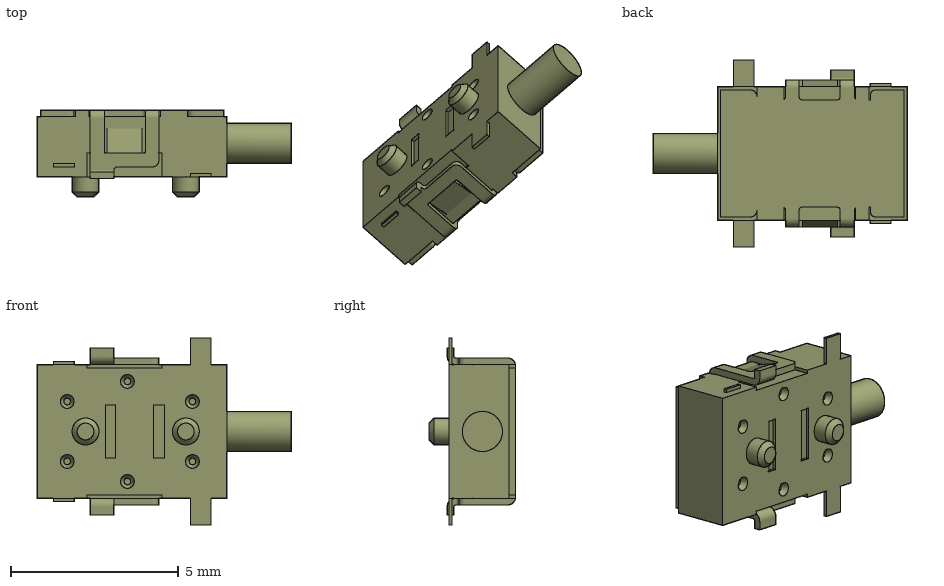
import cadquery as cq
import math


total_length = 7.6
body_length = 5.68
body_depth = 1.8
body_half_height = 2.0

shaft_radius = 0.6
shaft_y = 1.0

pin_radius = 0.4
pin_length = 0.6
pin_chamfer = 0.15
pin_centers_x = (1.445, 4.445)

pit_radius = 0.205
pit_floor_radius = 0.1
pit_depth = 0.2
pit_centers = [(0.9, 0.9), (4.64, 0.9), (2.7, 1.5)]
slot_half_height = 0.79
slot_depth = 0.1
slot_ranges_x = ((2.04, 2.34), (3.48, 3.8))

rib_x = (0.49, 1.11)
rib_y = (0.3, 0.395)
rib_height = 0.1
tab_x = (4.58, 5.205)
tab_thickness = 0.1
tab_span = 5.6
tab_tip_z = tab_span / 2
recess_x = (1.49, 3.74)
recess_y = 0.715
recess_depth = 0.1

sheet = 0.2
clip_sheet = 0.205
plate_x = (0.1, 5.585)
plate_half_height = 1.9
plate_back_y = body_depth + sheet
clip_x = (1.58, 3.64)
window_x = (2.01, 3.24)
window_y = recess_y
window_corner = 0.05
clip_end_y = 0.3
clip_corner = 0.2
clip_outer_z = body_half_height + clip_sheet
clip_bend = 0.25
clip_root_fillet = 0.1

foot_end_x = 2.295
foot_tip_z = 2.5
foot_outer_bend = 0.25
foot_inner_bend = foot_outer_bend - clip_sheet
foot_front_y = -0.05
foot_corner = 0.1

relief_depth = 0.3
relief_floor_z = plate_half_height - relief_depth
relief_x = (1.1, 4.5)
relief_rounds = (0.15, 0.2)
boss_ranges_x = ((1.15, 1.54), (3.69, relief_x[1]))

wedge_x = (2.09, 3.14)
wedge_end_y = 1.445
wedge_rise = 0.2

embed = 0.2


def block(x_range, y_range, z_range):
    """Axis-aligned block between the given limits."""
    sizes = [high - low for low, high in (x_range, y_range, z_range)]
    return cq.Workplane("XY").box(*sizes, centered=False).translate((x_range[0], y_range[0], z_range[0]))


def mirrored(shape):
    """The shape together with its mirror image about the symmetry plane."""
    return shape.union(shape.mirror("XY"))


def arc_middle(center, radius, degrees):
    """Point on a circle, used as the middle of an arc."""
    angle = math.radians(degrees)
    return (center[0] + radius * math.cos(angle), center[1] + radius * math.sin(angle))


def facing_y(y):
    """Workplane at height y whose local axes are X and Z and whose normal is -Y."""
    return cq.Workplane("XZ", origin=(0, y, 0))


def make_housing():
    housing = block((0, body_length), (0, body_depth), (-body_half_height, body_half_height))
    shaft = cq.Workplane("YZ").center(shaft_y, 0).circle(shaft_radius).extrude(total_length)
    housing = housing.union(shaft)
    for x in pin_centers_x:
        pin = facing_y(embed).center(x, 0).circle(pin_radius).extrude(embed + pin_length)
        housing = housing.union(pin.faces("<Y").chamfer(pin_chamfer))
    return housing


def make_pits():
    profile = [(0, 0), (pit_radius, 0), (pit_floor_radius, pit_depth), (0, pit_depth)]
    pit = cq.Workplane("XY").polyline(profile).close().revolve(360, (0, 0, 0), (0, 1, 0))
    pits = cq.Workplane("XY")
    for x, z in pit_centers:
        pits = pits.add(pit.translate((x, 0, z))).add(pit.translate((x, 0, -z)))
    return pits.combine()


def make_slots():
    slots = cq.Workplane("XY")
    for x_range in slot_ranges_x:
        slots = slots.add(block(x_range, (0, slot_depth), (-slot_half_height, slot_half_height)))
    return slots.combine()


def make_wedge():
    """Latch that rises from flush at its far end to full height at the window's end."""
    profile = [
        (window_y, body_half_height - embed),
        (window_y, body_half_height + wedge_rise),
        (wedge_end_y, body_half_height),
        (wedge_end_y, body_half_height - embed),
    ]
    wedge = cq.Workplane("YZ", origin=(wedge_x[0], 0, 0)).polyline(profile).close()
    return wedge.extrude(wedge_x[1] - wedge_x[0])


def make_back_plate():
    """Back plate whose long edges drop to a lower floor across the clip zone, rounded at both ends."""
    z_range = (-plate_half_height, plate_half_height)
    plate = block(plate_x, (body_depth, plate_back_y), z_range)
    left_round, right_round = relief_rounds
    left, right = relief_x
    left_center = (left - left_round, plate_half_height - left_round)
    right_center = (right + right_round, plate_half_height - right_round)
    relief = (
        facing_y(plate_back_y)
        .moveTo(left_center[0], plate_half_height)
        .threePointArc(arc_middle(left_center, left_round, 45), (left, left_center[1]))
        .lineTo(left, relief_floor_z)
        .lineTo(right, relief_floor_z)
        .lineTo(right, right_center[1])
        .threePointArc(arc_middle(right_center, right_round, 135), (right_center[0], plate_half_height))
        .close()
        .extrude(sheet)
    )
    return plate.cut(mirrored(relief))


def make_bosses():
    z_range = (-body_half_height, body_half_height)
    bosses = cq.Workplane("XY")
    for x_range in boss_ranges_x:
        bosses = bosses.add(block(x_range, (body_depth, plate_back_y), z_range))
    return bosses.combine()


def make_clip_sheet():
    """Bent sheet of the clip, full width: root, bend, arm along the side wall, bend and foot."""
    root_center = (plate_back_y - clip_bend, clip_outer_z - clip_bend)
    foot_center_y = foot_front_y + foot_outer_bend
    foot_center = (foot_center_y, body_half_height + foot_outer_bend)
    return (
        cq.Workplane("YZ", origin=(clip_x[0], 0, 0))
        .moveTo(body_depth, relief_floor_z)
        .lineTo(plate_back_y, relief_floor_z)
        .lineTo(plate_back_y, root_center[1])
        .threePointArc(arc_middle(root_center, clip_bend, 45), (root_center[0], clip_outer_z))
        .lineTo(foot_center_y, clip_outer_z)
        .threePointArc(
            arc_middle(foot_center, foot_inner_bend, 225),
            (foot_center_y - foot_inner_bend, foot_center[1]),
        )
        .lineTo(foot_center_y - foot_inner_bend, foot_tip_z)
        .lineTo(foot_front_y, foot_tip_z)
        .lineTo(foot_front_y, foot_center[1])
        .threePointArc(arc_middle(foot_center, foot_outer_bend, 225), (foot_center_y, body_half_height))
        .lineTo(body_depth, body_half_height)
        .close()
        .extrude(clip_x[1] - clip_x[0])
    )


def make_clip_outline():
    """Flat outline of the clip with its foot strip and open window."""
    left, right = clip_x
    step_center = (foot_end_x + foot_corner, clip_end_y - foot_corner)
    corner_center = (right - clip_corner, clip_end_y + clip_corner)
    outline = (
        cq.Workplane("XY")
        .moveTo(left, plate_back_y)
        .lineTo(left, foot_front_y)
        .lineTo(foot_end_x, foot_front_y)
        .lineTo(foot_end_x, step_center[1])
        .threePointArc(arc_middle(step_center, foot_corner, 135), (step_center[0], clip_end_y))
        .lineTo(corner_center[0], clip_end_y)
        .threePointArc(arc_middle(corner_center, clip_corner, 315), (right, corner_center[1]))
        .lineTo(right, plate_back_y)
        .close()
        .extrude(foot_tip_z)
    )
    window = block(window_x, (window_y, plate_back_y), (0, foot_tip_z))
    return outline.cut(window.edges("|Z and <Y").fillet(window_corner))


def make_root_fillet(corner_x, direction):
    """Concave fillet between the relief floor and one flank of a clip arm."""
    center = (corner_x + direction * clip_root_fillet, relief_floor_z + clip_root_fillet)
    middle = arc_middle(center, clip_root_fillet, 270 - direction * 45)
    return (
        facing_y(plate_back_y)
        .moveTo(corner_x, relief_floor_z)
        .lineTo(corner_x, center[1])
        .threePointArc(middle, (center[0], relief_floor_z))
        .close()
        .extrude(sheet)
    )


def make_clip():
    """Clip on the +Z side, with fillets where its arms leave the relief floor."""
    clip = make_clip_sheet().intersect(make_clip_outline())
    flanks = [(clip_x[0], -1), (window_x[0], 1), (window_x[1], -1), (clip_x[1], 1)]
    for corner_x, direction in flanks:
        clip = clip.union(make_root_fillet(corner_x, direction))
    return clip


housing = make_housing()
recess = block(recess_x, (0, recess_y), (body_half_height - recess_depth, body_half_height))
housing = housing.cut(mirrored(recess)).cut(make_pits()).cut(make_slots())

rib = block(rib_x, rib_y, (0, body_half_height + rib_height))
tab = block(tab_x, (0, tab_thickness), (body_half_height - embed, tab_tip_z))
side_details = rib.union(tab).union(make_wedge()).union(make_clip())

result = housing.union(make_back_plate()).union(make_bosses()).union(mirrored(side_details)).clean()